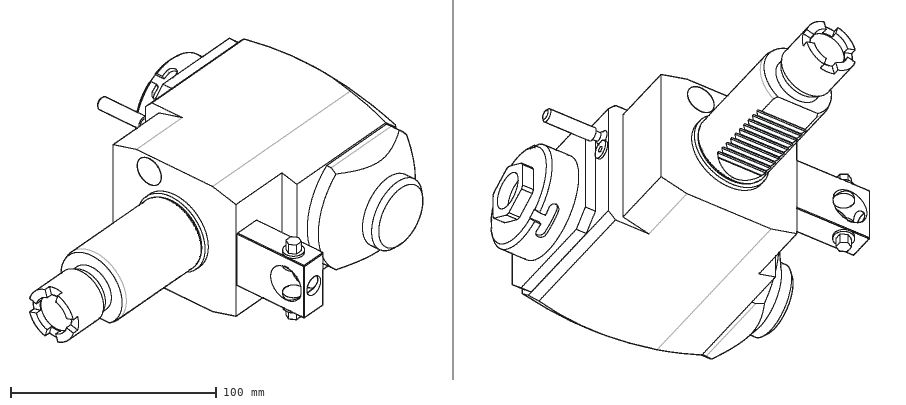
import cadquery as cq
import math


CLEARANCE = 2.0
HEX_SIDES = 6

TOTAL_LENGTH = 207.0
HALF_HEIGHT = 37.5
BACK_Y = 113.6
STEP_Y = 34.8
HEAD_LEFT_X = -47.6
HEAD_RIGHT_X = 48.6
FRONT_HALF_WIDTH = 39.1
HEAD_CHAMFER = 4.1
TAPER_START_X = 24.2
TAPER_SLOPE = math.tan(math.radians(15))
BACK_CORNER = 3.5
BACK_CONE_X = -10.4
BACK_CONE_RADIUS = 130.5
BACK_CONE_PEAK_Y = 109.0
SEAT_X = -16.1
SEAT_Z = 28.0
SEAT_RADIUS = 7.7
SEAT_DEPTH = 0.2

SPINDLE_Y = 80.1
PLATE_X = -53.5
PLATE_HALF = 33.1
PLATE_CORNER = 8.3
NUT_X = -70.8
NUT_RADIUS = 27.5
NUT_CHAMFER = 2.0
NUT_SLOT_X = -62.5
NUT_SLOT_WIDTH = 5.4
NUT_SLOT_LENGTH = 18.5
NUT_NOTCH_WIDTH = 5.0
NUT_SLOT_FLOOR = 24.8
NUT_SLOT_COUNT = 3
HEX_X = -77.0
HEX_FLATS = 27.3
HEX_ROUND_DIAMETER = 30.5
HEX_BORE_RADIUS = 9.5
HEX_BORE_DEPTH = 6.2

PIN_Y = 40.2
PIN_Z = 17.8
PIN_X = -80.5
PIN_RADIUS = 3.5
PIN_CHAMFER = 1.0
PIN_NECK_RADIUS = 2.3
PIN_FLARE_RADIUS = 4.1
PIN_FLARE_LENGTH = 2.3
WASHER_Z = 10.4
WASHER_RADIUS = 4.8
WASHER_HOLE_RADIUS = 1.5
WASHER_THICKNESS = 1.2

COVER_RADIUS = 37.5
COVER_CONE_X = 55.7
COVER_TOP_Y = 109.7
COVER_HALF_HEIGHT = 29.8
COVER_TAPER_X = 51.5
HUB_X = 68.5
HUB_RADIUS = 19.3
HUB_END_X = 76.8
HUB_CHAMFER = 2.5

COLLAR_LENGTH = 2.5
SHANK_COLLAR_RADIUS = 21.5
SHANK_RADIUS = 20.0
SHANK_GROOVE_RADIUS = 19.5
SHANK_GROOVE_END = 3.7
SHANK_END = 63.0
SHANK_CHAMFER_LENGTH = 2.5
SHANK_CHAMFER_DEPTH = 0.6
FLAT_Z = -15.7
FLAT_START = 9.7
TOOTH_COUNT = 10
TOOTH_START = 12.0
TOOTH_END = 48.0
TOOTH_DEPTH = 1.2
TOOTH_MOUTH = 3.7
TOOTH_FLOOR = 1.0

NECK_RADIUS = 12.6
NECK_END = 67.5
DRIVE_RADIUS = 14.5
DRIVE_START = 71.0
DRIVE_END = TOTAL_LENGTH - BACK_Y
DRIVE_RECESS_RADIUS = 10.0
DRIVE_RECESS_DEPTH = 4.0
DRIVE_SLOT_COUNT = 4
DRIVE_SLOT_ANGLE = 32
DRIVE_SLOT_DEPTH = 3.3

ARM_END_X = 81.8
ARM_FRONT_Y = 0.8
ARM_BACK_Y = 15.5
ARM_HALF_HEIGHT = 15.7
ARM_HOLE_X = 70.2
ARM_HOLE_RADIUS = 9.7
SCREW_Y = 6.6
SCREW_RADIUS = 5.4
SCREW_TIP_Z = 7.9
SCREW_FLANGE_Z = 17.0
SCREW_HEAD_Z = 22.4
SCREW_HEAD_FLATS = 6.6
END_HOLE_RADIUS = 5.2
ARM_CHAMFER = 0.5


def turned_on_x(profile, y, z=0):
    """Solid of revolution about an axis along X; profile points are (x, radius)."""
    closed = [(profile[0][0], 0)] + profile + [(profile[-1][0], 0)]
    return (
        cq.Workplane("XY")
        .polyline(closed).close()
        .revolve(360, (0, 0, 0), (1, 0, 0))
        .translate((0, y, z))
    )


def prism_between(points, y_start, y_end):
    """Prism along Y with an outline given as (x, z) points."""
    return cq.Workplane("XZ", origin=(0, y_start, 0)).polyline(points).close().extrude(y_start - y_end)


def mirrored_outline(upper):
    """Close an outline listed left to right above Z = 0 with its mirror image below."""
    return upper + [(x, -z) for x, z in reversed(upper)]


def bevel_cone():
    """Double cone about Z, widest at mid height, that trims the back edges at 45 degrees."""
    mid_radius = BACK_CONE_RADIUS + HALF_HEIGHT
    half = (
        cq.Workplane("XZ")
        .polyline([(0, 0), (mid_radius, 0), (BACK_CONE_RADIUS, HALF_HEIGHT), (0, HALF_HEIGHT)]).close()
        .revolve(360, (0, 0, 0), (0, 1, 0))
    )
    return half.union(half.mirror("XY")).translate((BACK_CONE_X, BACK_CONE_PEAK_Y - BACK_CONE_RADIUS, 0))


def tapered_height(x):
    return HALF_HEIGHT - (x - TAPER_START_X) * TAPER_SLOPE


def housing():
    head = prism_between(
        mirrored_outline([
            (HEAD_LEFT_X, HALF_HEIGHT - HEAD_CHAMFER),
            (HEAD_LEFT_X + HEAD_CHAMFER, HALF_HEIGHT),
            (TAPER_START_X, HALF_HEIGHT),
            (HEAD_RIGHT_X, tapered_height(HEAD_RIGHT_X)),
        ]),
        STEP_Y, BACK_Y,
    )
    head = head.edges("|Z and >X and >Y").chamfer(BACK_CORNER)
    front_edge = tapered_height(FRONT_HALF_WIDTH)
    front_block = prism_between(
        mirrored_outline([
            (-FRONT_HALF_WIDTH, front_edge),
            (-TAPER_START_X, HALF_HEIGHT),
            (TAPER_START_X, HALF_HEIGHT),
            (FRONT_HALF_WIDTH, front_edge),
        ]),
        0, STEP_Y,
    )
    seat = (
        cq.Workplane("XZ", origin=(SEAT_X, 0, SEAT_Z))
        .circle(SEAT_RADIUS).extrude(-SEAT_DEPTH)
    )
    return head.union(front_block).intersect(bevel_cone()).cut(seat)


def bearing_cover():
    cover = turned_on_x(
        [(0, COVER_RADIUS), (COVER_CONE_X, COVER_RADIUS), (HUB_X, HUB_RADIUS)],
        SPINDLE_Y,
    )
    end_height = COVER_HALF_HEIGHT - (HUB_X - COVER_TAPER_X) * TAPER_SLOPE
    envelope = prism_between(
        mirrored_outline([
            (0, COVER_HALF_HEIGHT),
            (COVER_TAPER_X, COVER_HALF_HEIGHT),
            (HUB_X, end_height),
        ]),
        SPINDLE_Y - COVER_RADIUS, COVER_TOP_Y,
    )
    hub = turned_on_x(
        [
            (0, HUB_RADIUS),
            (HUB_END_X - HUB_CHAMFER, HUB_RADIUS),
            (HUB_END_X, HUB_RADIUS - HUB_CHAMFER),
        ],
        SPINDLE_Y,
    )
    return cover.intersect(envelope).union(hub)


def mounting_plate():
    front_y = 2 * SPINDLE_Y - BACK_Y
    return (
        cq.Workplane("XY")
        .box(HEAD_LEFT_X - PLATE_X, BACK_Y - front_y, 2 * PLATE_HALF)
        .edges("|X").chamfer(PLATE_CORNER)
        .translate(((HEAD_LEFT_X + PLATE_X) / 2, SPINDLE_Y, 0))
    )


def collet_nut():
    nut = turned_on_x(
        [
            (NUT_X, NUT_RADIUS - NUT_CHAMFER),
            (NUT_X + NUT_CHAMFER, NUT_RADIUS),
            (PLATE_X, NUT_RADIUS),
        ],
        SPINDLE_Y,
    )
    wrench_slot = (
        cq.Workplane("XY")
        .slot2D(NUT_SLOT_LENGTH, NUT_SLOT_WIDTH, 90).extrude(NUT_RADIUS)
        .translate((NUT_SLOT_X, SPINDLE_Y, 0))
    )
    notch = (
        cq.Workplane("XY")
        .box(NUT_SLOT_X - NUT_X, NUT_NOTCH_WIDTH, NUT_RADIUS, centered=(False, True, False))
        .translate((NUT_X, SPINDLE_Y, 0))
    )
    cutter = wrench_slot.union(notch)
    for index in range(NUT_SLOT_COUNT):
        angle = -90 + index * 360 / NUT_SLOT_COUNT
        nut = nut.cut(cutter.rotate((0, SPINDLE_Y, 0), (1, SPINDLE_Y, 0), angle))
    core = turned_on_x([(NUT_X, NUT_SLOT_FLOOR), (PLATE_X, NUT_SLOT_FLOOR)], SPINDLE_Y)
    return nut.union(core)


def spindle_hex():
    side = cq.Workplane("YZ", origin=(HEX_X, SPINDLE_Y, 0))
    length = NUT_X - HEX_X
    hexagon = side.polygon(HEX_SIDES, HEX_FLATS / math.cos(math.pi / HEX_SIDES)).extrude(length)
    hexagon = hexagon.rotate((0, SPINDLE_Y, 0), (1, SPINDLE_Y, 0), 90)
    return (
        hexagon
        .intersect(side.circle(HEX_ROUND_DIAMETER / 2).extrude(length))
        .cut(side.circle(HEX_BORE_RADIUS).extrude(HEX_BORE_DEPTH))
    )


def coolant_pin():
    pin = turned_on_x(
        [
            (PIN_X, PIN_RADIUS - PIN_CHAMFER),
            (PIN_X + PIN_CHAMFER, PIN_RADIUS),
            (PLATE_X, PIN_RADIUS),
            (PLATE_X, PIN_NECK_RADIUS),
            (HEAD_LEFT_X - PIN_FLARE_LENGTH, PIN_NECK_RADIUS),
            (HEAD_LEFT_X, PIN_FLARE_RADIUS),
        ],
        PIN_Y, PIN_Z,
    )
    washer = (
        cq.Workplane("YZ", origin=(HEAD_LEFT_X, PIN_Y, WASHER_Z))
        .circle(WASHER_RADIUS).circle(WASHER_HOLE_RADIUS).extrude(-WASHER_THICKNESS)
    )
    return pin.union(washer)


def shank():
    outline = [
        (0, 0),
        (SHANK_COLLAR_RADIUS, 0),
        (SHANK_COLLAR_RADIUS, -COLLAR_LENGTH),
        (SHANK_GROOVE_RADIUS, -COLLAR_LENGTH),
        (SHANK_GROOVE_RADIUS, -SHANK_GROOVE_END),
        (SHANK_RADIUS, -SHANK_GROOVE_END),
        (SHANK_RADIUS, SHANK_CHAMFER_LENGTH - SHANK_END),
        (SHANK_RADIUS - SHANK_CHAMFER_DEPTH, -SHANK_END),
        (NECK_RADIUS, -SHANK_END),
        (NECK_RADIUS, -NECK_END),
        (DRIVE_RADIUS, -DRIVE_START),
        (DRIVE_RADIUS, -DRIVE_END),
        (0, -DRIVE_END),
    ]
    return cq.Workplane("XY").polyline(outline).close().revolve(360, (0, 0, 0), (0, 1, 0))


def shank_flat():
    """Cutter for the clamping flat under the shank, with tooth gaps across it."""
    below = -SHANK_RADIUS - CLEARANCE
    outline = [
        (below, -FLAT_START + FLAT_Z - below),
        (FLAT_Z, -FLAT_START),
    ]
    pitch = (TOOTH_END - TOOTH_START) / (TOOTH_COUNT - 1)
    for index in range(TOOTH_COUNT):
        middle = -TOOTH_START - index * pitch
        outline += [
            (FLAT_Z, middle + TOOTH_MOUTH / 2),
            (FLAT_Z + TOOTH_DEPTH, middle + TOOTH_FLOOR / 2),
            (FLAT_Z + TOOTH_DEPTH, middle - TOOTH_FLOOR / 2),
            (FLAT_Z, middle - TOOTH_MOUTH / 2),
        ]
    outline += [(FLAT_Z, -SHANK_END), (below, -SHANK_END)]
    points = [(y, z) for z, y in outline]
    cutter = cq.Workplane("YZ").polyline(points).close().extrude(SHANK_RADIUS, both=True)
    collar_guard = cq.Workplane("XZ").circle(SHANK_COLLAR_RADIUS).extrude(COLLAR_LENGTH)
    return cutter.cut(collar_guard)


def drive_slots():
    """Cutter for the round recess and the wedge-shaped slots in the end of the drive."""
    end_face = cq.Workplane("XZ", origin=(0, -DRIVE_END, 0))
    cutter = end_face.circle(DRIVE_RECESS_RADIUS).extrude(-DRIVE_RECESS_DEPTH)
    reach = DRIVE_RADIUS + CLEARANCE
    half_width = reach * math.tan(math.radians(DRIVE_SLOT_ANGLE / 2))
    wedge = (
        end_face
        .polyline([(0, 0), (reach, half_width), (reach, -half_width)]).close()
        .extrude(-DRIVE_SLOT_DEPTH)
    )
    for index in range(DRIVE_SLOT_COUNT):
        cutter = cutter.union(wedge.rotate((0, 0, 0), (0, 1, 0), index * 360 / DRIVE_SLOT_COUNT))
    return cutter


def arm_screw():
    """Upper clamping screw of the arm: round body and flange with a hexagon head."""
    body = (
        cq.Workplane("XY", origin=(ARM_HOLE_X, SCREW_Y, SCREW_TIP_Z))
        .circle(SCREW_RADIUS).extrude(SCREW_FLANGE_Z - SCREW_TIP_Z)
    )
    head = (
        cq.Workplane("XY")
        .polygon(HEX_SIDES, SCREW_HEAD_FLATS / math.cos(math.pi / HEX_SIDES))
        .extrude(SCREW_HEAD_Z - SCREW_FLANGE_Z)
        .rotate((0, 0, 0), (0, 0, 1), 90)
        .translate((ARM_HOLE_X, SCREW_Y, SCREW_FLANGE_Z))
    )
    return body.union(head)


def side_arm():
    depth = ARM_BACK_Y - ARM_FRONT_Y
    arm = (
        cq.Workplane("XY")
        .box(ARM_END_X, depth, 2 * ARM_HALF_HEIGHT, centered=(False, False, True))
        .edges("<Y or >X").chamfer(ARM_CHAMFER)
        .translate((0, ARM_FRONT_Y, 0))
    )
    hole = (
        cq.Workplane("XZ", origin=(ARM_HOLE_X, ARM_FRONT_Y, 0))
        .circle(ARM_HOLE_RADIUS).extrude(-depth)
    )
    end_hole = (
        cq.Workplane("YZ", origin=(ARM_HOLE_X, (ARM_FRONT_Y + ARM_BACK_Y) / 2, 0))
        .circle(END_HOLE_RADIUS).extrude(ARM_END_X - ARM_HOLE_X)
    )
    screw = arm_screw()
    return arm.cut(hole).cut(end_hole).union(screw).union(screw.mirror("XY"))


turned_shank = shank().cut(shank_flat()).cut(drive_slots())
result = (
    housing()
    .union(bearing_cover())
    .union(mounting_plate())
    .union(collet_nut())
    .union(spindle_hex())
    .union(coolant_pin())
    .union(turned_shank)
    .union(side_arm())
)